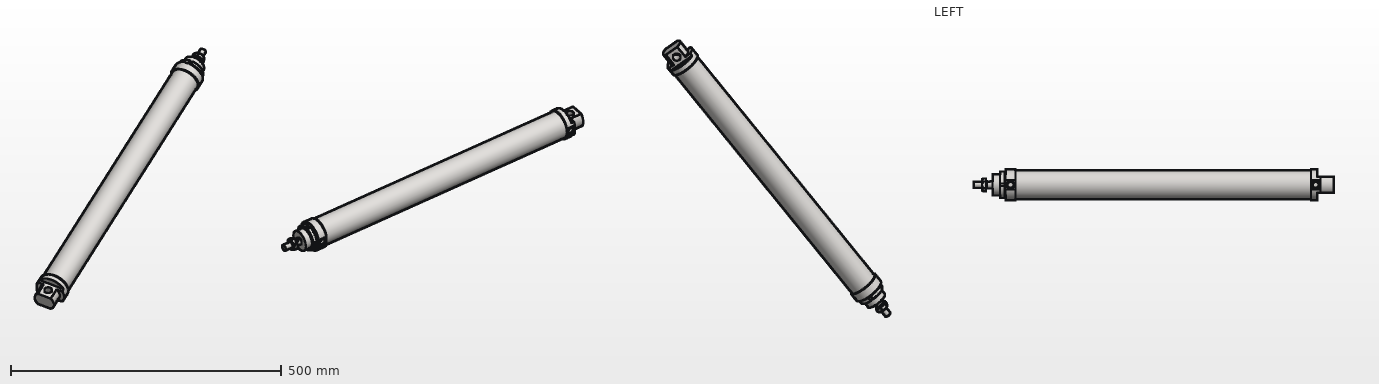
import cadquery as cq
import math

TOTAL_LENGTH = 667.0
CLEVIS_END = -TOTAL_LENGTH / 2
ROD_TIP = TOTAL_LENGTH / 2

TUBE_DIAMETER = 54.0
CAP_DIAMETER = 58.0
REAR_CAP_START = CLEVIS_END + 25.0
REAR_CAP_LENGTH = 18.0
REAR_STEP_LENGTH = 6.0
FRONT_CAP_END = ROD_TIP - 59.5
FRONT_CAP_LENGTH = 18.0
RELIEF_DIAMETER = 39.0
RELIEF_LENGTH = 2.0
NOSE_DIAMETER = 40.0
NOSE_END = ROD_TIP - 35.5

TONGUE_DIAMETER = 40.0
TONGUE_THICKNESS = 30.0
CLEVIS_HOLE_DIAMETER = 14.0
CLEVIS_HOLE_OFFSET = 16.0

PORT_FLAT_X = -(57.0 - CAP_DIAMETER / 2)
PORT_DIAMETER = 11.5
PORT_CHAMFER = 1.5
PORT_DEPTH = 10.0

ROD_DIAMETER = 14.0
ROD_THREAD_DIAMETER = 12.0
ROD_THREAD_LENGTH = 25.0
SPANNER_HOLE_DIAMETER = 8.0
SPANNER_HOLE_DEPTH = 1.5
SPANNER_HOLE_OFFSET = 28.0

ROD_NUT_ACROSS_FLATS = 21.0
ROD_NUT_LENGTH = 8.0
ROD_NUT_END = ROD_TIP - 15.5
ROD_NUT_CHAMFER_ANGLE = 60.0

MOUNT_NUT_DIAMETER = 50.0
MOUNT_NUT_START = FRONT_CAP_END + RELIEF_LENGTH
MOUNT_NUT_LENGTH = 8.0
MOUNT_NUT_SLOT_WIDTH = 5.5
MOUNT_NUT_SLOT_DEPTH = 2.0
MOUNT_NUT_SLOT_COUNT = 4


def cylinder(diameter, start, end):
    """Cylinder on the Y axis between two Y positions."""
    disc = cq.Workplane("XZ", origin=(0, start, 0)).circle(diameter / 2)
    return disc.extrude(start - end)


def box_between(x_size, z_size, start, end):
    """Box centred on the Y axis between two Y positions."""
    box = cq.Workplane("XY").box(x_size, end - start, z_size)
    return box.translate((0, (start + end) / 2, 0))


def make_clevis():
    """Flat-sided tongue and cap step, crossed by the clevis pin hole."""
    tongue = cylinder(TONGUE_DIAMETER, CLEVIS_END, REAR_CAP_START)
    step_end = REAR_CAP_START + REAR_STEP_LENGTH
    step = cylinder(CAP_DIAMETER, REAR_CAP_START, step_end)
    flats = box_between(CAP_DIAMETER, TONGUE_THICKNESS, CLEVIS_END, step_end)
    cross_hole = (
        cq.Workplane("XY", origin=(0, CLEVIS_END + CLEVIS_HOLE_OFFSET, 0))
        .circle(CLEVIS_HOLE_DIAMETER / 2)
        .extrude(TONGUE_THICKNESS, both=True)
    )
    return tongue.union(step).intersect(flats).cut(cross_hole)


def cut_port(housing, start, length):
    """Cut the flat across one cap and the chamfered air port at its centre."""
    middle = start + length / 2
    flat = (
        cq.Workplane("YZ", origin=(PORT_FLAT_X, middle, 0))
        .rect(length, CAP_DIAMETER)
        .extrude(-CAP_DIAMETER)
    )
    port = (
        cq.Workplane("YZ", origin=(PORT_FLAT_X, middle, 0))
        .circle(PORT_DIAMETER / 2)
        .extrude(PORT_DEPTH)
    )
    countersink = cq.Workplane(
        cq.Solid.makeCone(
            PORT_DIAMETER / 2 + PORT_CHAMFER,
            PORT_DIAMETER / 2,
            PORT_CHAMFER,
            cq.Vector(PORT_FLAT_X, middle, 0),
            cq.Vector(1, 0, 0),
        )
    )
    return housing.cut(flat).cut(port).cut(countersink)


def make_housing():
    """Tube with its two caps, the rear clevis and the front nose."""
    rear_cap_end = REAR_CAP_START + REAR_CAP_LENGTH
    front_cap_start = FRONT_CAP_END - FRONT_CAP_LENGTH
    housing = (
        make_clevis()
        .union(cylinder(CAP_DIAMETER, REAR_CAP_START + REAR_STEP_LENGTH, rear_cap_end))
        .union(cylinder(TUBE_DIAMETER, rear_cap_end, front_cap_start))
        .union(cylinder(CAP_DIAMETER, front_cap_start, FRONT_CAP_END))
        .union(cylinder(RELIEF_DIAMETER, FRONT_CAP_END, MOUNT_NUT_START))
        .union(cylinder(NOSE_DIAMETER, MOUNT_NUT_START, NOSE_END))
    )
    housing = cut_port(housing, REAR_CAP_START, REAR_CAP_LENGTH)
    return cut_port(housing, front_cap_start, FRONT_CAP_LENGTH)


def make_rod():
    """Piston rod standing on the nose face, with a blind spanner hole below its thread."""
    thread_start = ROD_TIP - ROD_THREAD_LENGTH
    shank = cylinder(ROD_DIAMETER, NOSE_END, thread_start)
    thread = cylinder(ROD_THREAD_DIAMETER, thread_start, ROD_TIP)
    spanner_hole = (
        cq.Workplane("XY", origin=(0, ROD_TIP - SPANNER_HOLE_OFFSET, ROD_DIAMETER / 2))
        .circle(SPANNER_HOLE_DIAMETER / 2)
        .extrude(-SPANNER_HOLE_DEPTH)
    )
    return shank.union(thread).cut(spanner_hole)


def make_rod_nut():
    """Hexagonal nut, corners along Z, with its corners chamfered on the tip side."""
    start = ROD_NUT_END - ROD_NUT_LENGTH
    corner_diameter = ROD_NUT_ACROSS_FLATS / math.cos(math.pi / 6)
    nut = (
        cq.Workplane("XZ", origin=(0, start, 0))
        .transformed(rotate=(0, 0, 90))
        .polygon(6, corner_diameter)
        .extrude(-ROD_NUT_LENGTH)
    )
    face_radius = ROD_NUT_ACROSS_FLATS / 2
    corner_radius = corner_diameter / 2
    chamfer_slope = math.tan(math.radians(ROD_NUT_CHAMFER_ANGLE))
    chamfer_length = (corner_radius - face_radius) * chamfer_slope
    envelope = (
        cq.Workplane("XY")
        .moveTo(0, start)
        .lineTo(corner_radius, start)
        .lineTo(corner_radius, ROD_NUT_END - chamfer_length)
        .lineTo(face_radius, ROD_NUT_END)
        .lineTo(0, ROD_NUT_END)
        .close()
        .revolve(360, (0, 0, 0), (0, 1, 0))
    )
    return nut.intersect(envelope).cut(cylinder(ROD_THREAD_DIAMETER, start, ROD_NUT_END))


def make_mount_nut():
    """Round nut on the nose, with wrench slots along its rim."""
    end = MOUNT_NUT_START + MOUNT_NUT_LENGTH
    nut = cylinder(MOUNT_NUT_DIAMETER, MOUNT_NUT_START, end)
    nut = nut.cut(cylinder(NOSE_DIAMETER, MOUNT_NUT_START, end))
    slot = box_between(MOUNT_NUT_SLOT_WIDTH, 2 * MOUNT_NUT_SLOT_DEPTH, MOUNT_NUT_START, end)
    slot = slot.translate((0, 0, MOUNT_NUT_DIAMETER / 2))
    for index in range(MOUNT_NUT_SLOT_COUNT):
        angle = index * 360 / MOUNT_NUT_SLOT_COUNT
        nut = nut.cut(slot.rotate((0, 0, 0), (0, 1, 0), angle))
    return nut


housing = make_housing()
rod = make_rod()
rod_nut = make_rod_nut()
mount_nut = make_mount_nut()

result = cq.Compound.makeCompound([housing.val(), rod.val(), rod_nut.val(), mount_nut.val()])